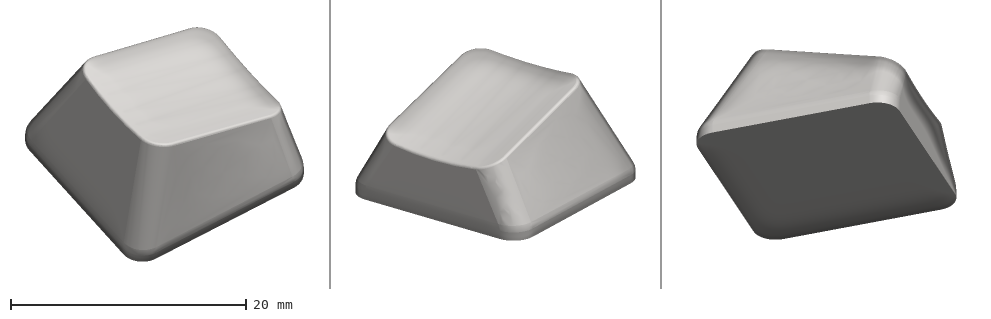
import cadquery as cq
import math

base_size = 18.16
base_corner_radius = 2.0
skirt_height = 0.76
blend_height = 0.56

rim_width = 11.88
rim_front_y = -5.01
rim_back_y = 8.63
rim_corner_radius = 2.0
rim_height_at_origin = 8.52
top_tilt = 15.9
top_edge_radius = 0.27

dish_radius = 33.6
dish_clearance = 0.18


def rounded_sketch(width, length, radius):
    """Rectangle with rounded corners."""
    return cq.Sketch().rect(width, length).vertices().fillet(radius)


tilt = math.radians(top_tilt)
rim_center_y = (rim_front_y + rim_back_y) / 2
rim_center_z = rim_height_at_origin - rim_center_y * math.tan(tilt)
rim_length = (rim_back_y - rim_front_y) / math.cos(tilt)
rim_plane = cq.Plane(
    origin=(0, rim_center_y, rim_center_z),
    xDir=(1, 0, 0),
    normal=(0, math.sin(tilt), math.cos(tilt)),
)


blank_origin = rim_plane.origin + rim_plane.zDir * dish_clearance
blank_plane = cq.Plane(
    origin=blank_origin.toTuple(),
    xDir=(1, 0, 0),
    normal=rim_plane.zDir.toTuple(),
)
half_base = base_size / 2
half_drop = rim_length / 2 * math.sin(tilt)
half_run = rim_length / 2 * math.cos(tilt)
wall_start = skirt_height + blend_height / 2
front_rise = blank_origin.z + half_drop - wall_start
back_rise = blank_origin.z - half_drop - wall_start
front_slope = (half_base + blank_origin.y - half_run) / front_rise
back_slope = (half_base - blank_origin.y - half_run) / back_rise
side_front_slope = (half_base - rim_width / 2) / front_rise
side_back_slope = (half_base - rim_width / 2) / back_rise


def blend_section(fraction):
    """Outline partway up the blend; the inset grows with the square of height."""
    run = blend_height / 2 * fraction**2
    front_x = half_base - run * side_front_slope
    back_x = half_base - run * side_back_slope
    front_y = -half_base + run * front_slope
    back_y = half_base - run * back_slope
    corners = [
        (-front_x, front_y),
        (front_x, front_y),
        (back_x, back_y),
        (-back_x, back_y),
        (-front_x, front_y),
    ]
    outline = cq.Sketch().polygon(corners).vertices().fillet(base_corner_radius)
    height = skirt_height + fraction * blend_height
    return outline.moved(cq.Location(cq.Vector(0, 0, height)))


def make_skirt():
    """Straight-sided band around the bottom."""
    outline = rounded_sketch(base_size, base_size, base_corner_radius)
    return cq.Workplane("XY").placeSketch(outline).extrude(skirt_height)


def make_blend():
    """Curved band joining the skirt to the walls."""
    sections = [blend_section(fraction) for fraction in (0, 0.5, 1)]
    return cq.Workplane("XY").placeSketch(*sections).loft()


def make_walls():
    """Tapered walls from the blend to just above the tilted rim."""
    upper = rounded_sketch(rim_width, rim_length, rim_corner_radius)
    upper = upper.moved(cq.Location(blank_plane))
    return cq.Workplane("XY").placeSketch(blend_section(1), upper).loft(ruled=True)


def make_dish():
    """Cylinder along the slope, meeting the rim plane at both side edges."""
    axis_height = math.sqrt(dish_radius**2 - (rim_width / 2) ** 2)
    section_plane = cq.Plane(
        origin=(rim_plane.origin + rim_plane.zDir * axis_height).toTuple(),
        xDir=(1, 0, 0),
        normal=rim_plane.yDir.toTuple(),
    )
    return cq.Workplane(section_plane).circle(dish_radius).extrude(base_size, both=True)


body = make_skirt().union(make_blend()).union(make_walls())
body = body.cut(make_dish())

result = body.faces(">Z").edges().fillet(top_edge_radius)